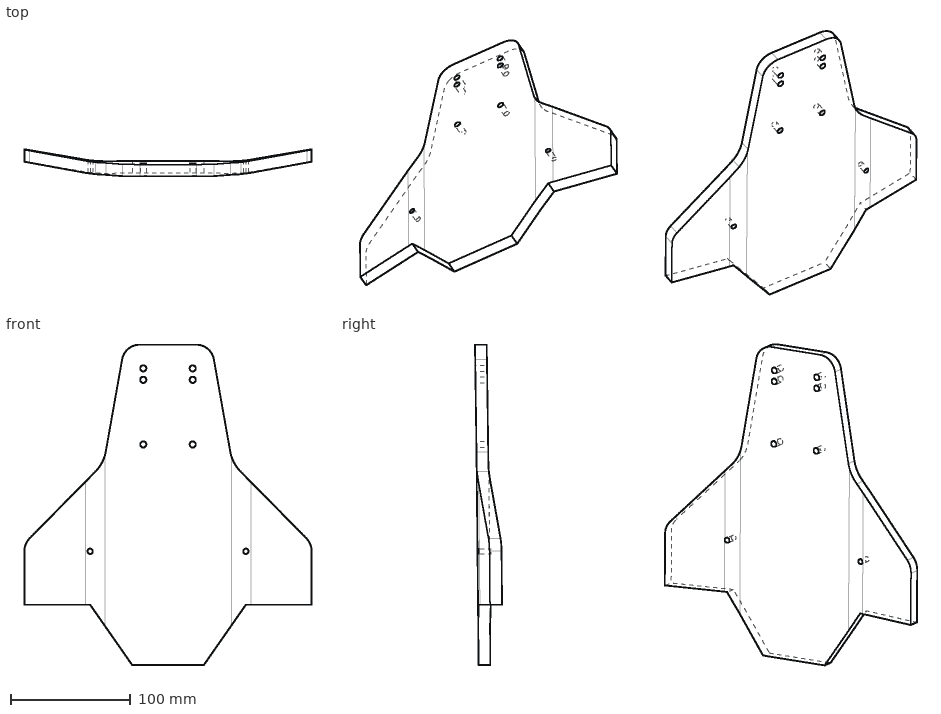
import cadquery as cq
import math

THICKNESS = 10.0
HALF_SPAN = 120.0
HEIGHT = 267.6
BEND_START = 53.0
BEND_WIDTH = 16.0
WING_ANGLE = 9.65
BOW_RADIUS = 31000.0
BOW_LEVEL = -222.0

TAIL_HALF_WIDTH = 30.0
NOTCH_HALF_WIDTH = 65.0
NOTCH_HEIGHT = 50.2
TIP_HEIGHT = 101.4
SHOULDER_HALF_WIDTH = 53.8
NOSE_HALF_WIDTH = 36.2
LEADING_EDGE_SLOPE = 45.4
SHOULDER_RISE = (HALF_SPAN - SHOULDER_HALF_WIDTH) * math.tan(math.radians(LEADING_EDGE_SLOPE))
SHOULDER_HEIGHT = TIP_HEIGHT + SHOULDER_RISE
NOSE_RADIUS = 15.0
SHOULDER_RADIUS = 31.0
TIP_RADIUS = 15.0

TRUCK_HOLE_DIAMETER = 5.0
TRUCK_HOLE_SPACING = 41.3
TRUCK_REAR_HEIGHT = 184.2
TRUCK_PITCHES = (0.0, 53.98, 63.5)
WING_HOLE_DIAMETER = 4.3
WING_HOLE_HEIGHT = 95.0

CUT_DEPTH = 200.0
OVERHANG = 10.0


def sheet_section():
    """Constant-thickness section across the sheet, front face of the middle strip on Y = 0."""
    angle = math.radians(WING_ANGLE)
    outer_radius = BEND_WIDTH / math.sin(angle)
    inner_radius = outer_radius - THICKNESS
    stock_half_span = HALF_SPAN + OVERHANG

    def on_bend(radius, turn):
        return (BEND_START + radius * math.sin(turn), outer_radius - radius * math.cos(turn))

    def wing_end(radius):
        x, y = on_bend(radius, angle)
        return (stock_half_span, y + (stock_half_span - x) * math.tan(angle))

    def mirrored(point):
        return (-point[0], point[1])

    front_start, front_mid, front_end = [on_bend(outer_radius, angle * share) for share in (0, 0.5, 1)]
    back_start, back_mid, back_end = [on_bend(inner_radius, angle * share) for share in (0, 0.5, 1)]
    front_tip = wing_end(outer_radius)
    back_tip = wing_end(inner_radius)
    return (
        cq.Workplane("XY")
        .moveTo(*mirrored(front_start))
        .lineTo(*front_start)
        .threePointArc(front_mid, front_end)
        .lineTo(*front_tip)
        .lineTo(*back_tip)
        .lineTo(*back_end)
        .threePointArc(back_mid, back_start)
        .lineTo(*mirrored(back_start))
        .threePointArc(mirrored(back_mid), mirrored(back_end))
        .lineTo(*mirrored(back_tip))
        .lineTo(*mirrored(front_tip))
        .lineTo(*mirrored(front_end))
        .threePointArc(mirrored(front_mid), mirrored(front_start))
        .close()
    )


def bowed_sheet():
    """The section turned about a far-off axis parallel to X, which bows it lengthwise."""
    turn = math.degrees((HEIGHT + OVERHANG - BOW_LEVEL) / BOW_RADIUS)
    sheet = sheet_section().revolve(turn, (0, -BOW_RADIUS, 0), (1, -BOW_RADIUS, 0))
    return sheet.translate((0, 0, BOW_LEVEL))


def outline_prism():
    """Rocket-shaped outline with rounded nose, shoulders and wing tips, extruded along Y."""
    right_side = [
        (TAIL_HALF_WIDTH, 0),
        (NOTCH_HALF_WIDTH, NOTCH_HEIGHT),
        (HALF_SPAN, NOTCH_HEIGHT),
        (HALF_SPAN, TIP_HEIGHT),
        (SHOULDER_HALF_WIDTH, SHOULDER_HEIGHT),
        (NOSE_HALF_WIDTH, HEIGHT),
    ]
    left_side = [(-x, z) for x, z in reversed(right_side)]
    prism = cq.Workplane("XZ").polyline(right_side + left_side).close().extrude(CUT_DEPTH / 2, both=True)
    roundings = (
        (HALF_SPAN, TIP_HEIGHT, TIP_RADIUS),
        (SHOULDER_HALF_WIDTH, SHOULDER_HEIGHT, SHOULDER_RADIUS),
        (NOSE_HALF_WIDTH, HEIGHT, NOSE_RADIUS),
    )
    for x, z, radius in roundings:
        for side in (-1, 1):
            corner = cq.selectors.NearestToPointSelector((side * x, 0, z))
            prism = prism.edges("|Y").edges(corner).fillet(radius)
    return prism


def hole_pins(diameter, half_spacing, heights):
    """Cylinders along Y, one pair at each height."""
    points = [(side * half_spacing, z) for z in heights for side in (-1, 1)]
    return cq.Workplane("XZ").pushPoints(points).circle(diameter / 2).extrude(CUT_DEPTH / 2, both=True)


truck_heights = [TRUCK_REAR_HEIGHT + pitch for pitch in TRUCK_PITCHES]
result = (
    bowed_sheet()
    .intersect(outline_prism())
    .cut(hole_pins(TRUCK_HOLE_DIAMETER, TRUCK_HOLE_SPACING / 2, truck_heights))
    .cut(hole_pins(WING_HOLE_DIAMETER, NOTCH_HALF_WIDTH, [WING_HOLE_HEIGHT]))
)